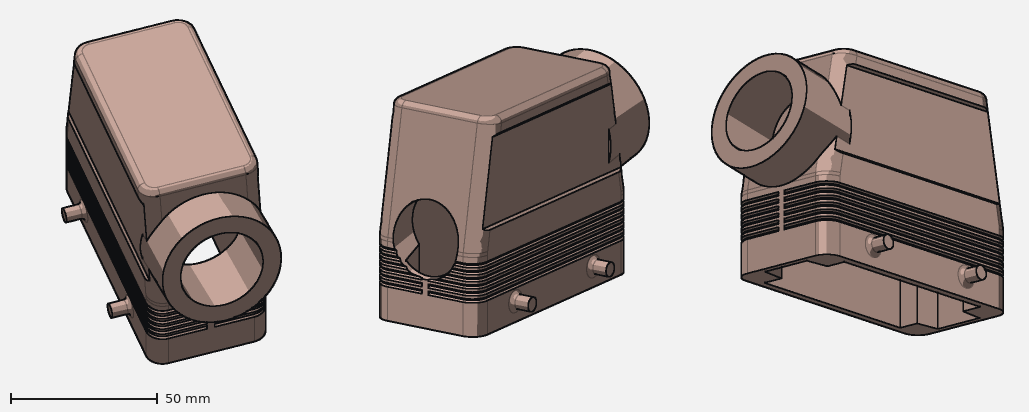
import cadquery as cq
import math

LENGTH = 93.5
WIDTH = 42.9
HEIGHT = 76.0
CORNER_RADIUS = 6.0
TOP_FILLET = 2.5
END_SLOPE = 11.0
KNEE_BOTTOM = 28.6
KNEE_TOP = 29.9

PANEL_DEPTH = 0.93
PANEL_BOTTOM = 37.1
PANEL_TOP = 70.2

GROOVE_COUNT = 6
GROOVE_PITCH = 2.5
GROOVE_WIDTH = 1.4
GROOVE_DEPTH = 0.7
GROOVE_TOP = 26.2
GROOVE_GAP = 2.7

PIN_SPAN = 57.0
PIN_SPACING = 47.5
PIN_DIAMETER = 5.1
PIN_HEIGHT = 7.6
PIN_FLARE = 1.5

TOTAL_LENGTH = 109.0
SPOUT_TILT = 11.4
SPOUT_RADIUS = 21.4
SPOUT_BORE_RADIUS = 14.8
SPOUT_TIP_HEIGHT = 52.2
END_HOLE_RADIUS = 13.3

SIDE_WALL = 3.3
ROOF = 3.5
CAVITY_END_WALL = 12.0
SLOT_WALL = 2.5
SLOT_MOUTH = 20.9
SLOT_BACK = 19.1
SLOT_KNEE = 22.8

OVERLAP = 1.1
FAR = 218.0

left_end = -LENGTH / 2
right_end = LENGTH / 2
cavity_left = left_end + CAVITY_END_WALL
cavity_right = right_end - CAVITY_END_WALL
slope = math.tan(math.radians(END_SLOPE))
half_slope = math.tan(math.radians(END_SLOPE / 2))

tilt = math.radians(SPOUT_TILT)
tip_x = left_end + TOTAL_LENGTH - SPOUT_RADIUS * math.sin(tilt)
spout_axis = cq.Vector(math.cos(tilt), 0, math.sin(tilt))
spout_tip = cq.Vector(tip_x, 0, SPOUT_TIP_HEIGHT)


def outline(z, end_inset, side_inset=0.0):
    """Rounded rectangular outline of the shell at height z."""
    return (
        cq.Sketch()
        .rect(LENGTH - 2 * end_inset, WIDTH - 2 * side_inset)
        .vertices()
        .fillet(CORNER_RADIUS - side_inset)
        .moved(cq.Location(cq.Vector(0, 0, z)))
    )


def layer(z_low, inset_low, z_high, inset_high, side_low=0.0, side_high=0.0):
    """Solid between two shell outlines."""
    return cq.Workplane().placeSketch(
        outline(z_low, inset_low, side_low),
        outline(z_high, inset_high, side_high),
    ).loft(ruled=True)


def shell_block():
    knee_inset = (KNEE_TOP - KNEE_BOTTOM) * half_slope
    top_inset = knee_inset + (HEIGHT - KNEE_TOP) * slope
    return (
        layer(0, 0, KNEE_BOTTOM, 0)
        .union(layer(KNEE_BOTTOM, 0, KNEE_TOP, knee_inset))
        .union(layer(KNEE_TOP, knee_inset, HEIGHT, top_inset))
        .faces(">Z").edges().fillet(TOP_FILLET)
    )


def side_panel(side):
    """Cutter for the sunken panel on one long side, with 45 degree steps."""
    face = side * WIDTH / 2
    floor = face - side * PANEL_DEPTH
    outer = face + side * PANEL_DEPTH
    return (
        cq.Workplane("YZ")
        .moveTo(outer, PANEL_BOTTOM - PANEL_DEPTH)
        .lineTo(floor, PANEL_BOTTOM + PANEL_DEPTH)
        .lineTo(floor, PANEL_TOP - PANEL_DEPTH)
        .lineTo(outer, PANEL_TOP + PANEL_DEPTH)
        .close()
        .extrude(LENGTH / 2, both=True)
    )


def groove(top):
    """V-shaped ring cutter around the shell, interrupted at the middle of each end."""
    middle = top - GROOVE_WIDTH / 2
    bottom = top - GROOVE_WIDTH
    band = layer(bottom, 0, top, 0)
    core = layer(bottom, 0, middle, GROOVE_DEPTH, 0, GROOVE_DEPTH).union(
        layer(middle, GROOVE_DEPTH, top, 0, GROOVE_DEPTH, 0)
    )
    gap = cq.Workplane().box(2 * LENGTH, GROOVE_GAP, 2 * HEIGHT)
    return band.cut(core).cut(gap)


def pin(x, side):
    """Locking pin with a concave flared root, revolved about its own axis."""
    radius = PIN_DIAMETER / 2
    wall = WIDTH / 2
    profile = (
        cq.Workplane("XY")
        .moveTo(0, wall - OVERLAP)
        .lineTo(radius + PIN_FLARE, wall - OVERLAP)
        .lineTo(radius + PIN_FLARE, wall)
        .radiusArc((radius, wall + PIN_FLARE), PIN_FLARE)
        .lineTo(radius, PIN_SPAN / 2)
        .lineTo(0, PIN_SPAN / 2)
        .close()
    )
    solid = profile.revolve(360, (0, 0), (0, 1))
    if side < 0:
        solid = solid.mirror("XZ")
    return solid.translate((x, 0, PIN_HEIGHT))


def tilted_cylinder(radius, beyond=0.0):
    """Long cylinder on the spout axis, reaching past the spout tip by `beyond`."""
    start = spout_tip + spout_axis * beyond
    return cq.Workplane(cq.Solid.makeCylinder(radius, FAR, start, spout_axis * -1))


def slab(x_min, x_max):
    """Oversized block bounded only in X."""
    return cq.Workplane().box(x_max - x_min, FAR, FAR).translate(((x_min + x_max) / 2, 0, 0))


def cavity():
    length = cavity_right - cavity_left
    return (
        cq.Workplane()
        .box(length, WIDTH - 2 * SIDE_WALL, HEIGHT - ROOF, centered=(False, True, False))
        .translate((cavity_left, 0, 0))
    )


def end_slot(mouth_x, back_x, height):
    """Tapered slot running up from the rim between a cavity end and the outer wall."""
    return (
        cq.Workplane()
        .polyline([
            (mouth_x, -SLOT_MOUTH / 2),
            (back_x, -SLOT_BACK / 2),
            (back_x, SLOT_BACK / 2),
            (mouth_x, SLOT_MOUTH / 2),
        ])
        .close()
        .extrude(height)
    )


def left_slot():
    """Slot that opens into the end hole above it."""
    hole_height = SPOUT_TIP_HEIGHT - (tip_x - left_end) * math.tan(tilt)
    return end_slot(cavity_left, left_end + SLOT_WALL, hole_height)


def right_slot():
    """Slot that stops at the underside of the spout, its back leaning above the knee."""
    back_x = right_end - SLOT_WALL
    height = SPOUT_TIP_HEIGHT
    leaning_wall = (
        cq.Workplane("XZ")
        .moveTo(back_x, SLOT_KNEE)
        .lineTo(back_x - (height - SLOT_KNEE) * slope, height)
        .lineTo(back_x, height)
        .close()
        .extrude(WIDTH / 2, both=True)
    )
    slot = end_slot(cavity_right, back_x, height)
    return slot.cut(leaning_wall).cut(tilted_cylinder(SPOUT_RADIUS))


body = shell_block()
for side in (-1, 1):
    body = body.cut(side_panel(side))
for index in range(GROOVE_COUNT):
    body = body.cut(groove(GROOVE_TOP - index * GROOVE_PITCH))

spout = tilted_cylinder(SPOUT_RADIUS).intersect(slab(cavity_right, FAR))
body = body.union(spout)
for side in (-1, 1):
    for x in (-PIN_SPACING / 2, PIN_SPACING / 2):
        body = body.union(pin(x, side))

body = body.cut(cavity()).cut(left_slot()).cut(right_slot())
body = body.cut(tilted_cylinder(SPOUT_BORE_RADIUS, OVERLAP).intersect(slab(0, FAR)))
body = body.cut(tilted_cylinder(END_HOLE_RADIUS).intersect(slab(-FAR, 0)))

result = body